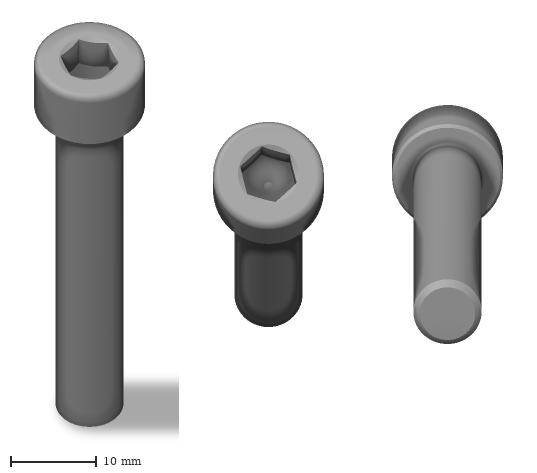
import cadquery as cq
import math

total_length = 58.0
head_diameter = 13.0
head_height = 8.0
shank_diameter = 8.0

head_top_fillet = 0.8
head_bottom_chamfer = 0.35
neck_fillet = 0.4
tip_chamfer = 0.75

socket_across_flats = 6.0
socket_depth = 4.0
socket_mouth_diameter = 7.15
mouth_cone_angle = 30.0
floor_cone_angle = 30.0
floor_flat_diameter = 1.05

head_radius = head_diameter / 2
shank_radius = shank_diameter / 2
head_bottom = total_length - head_height
socket_across_corners = socket_across_flats / math.cos(math.radians(30))
socket_floor = total_length - socket_depth


def cone_frustum(bottom_z, bottom_radius, top_z, top_radius):
    """Frustum around the Z axis."""
    return (
        cq.Workplane("XZ")
        .polyline([(0, bottom_z), (bottom_radius, bottom_z), (top_radius, top_z), (0, top_z)])
        .close()
        .revolve(360, (0, 0), (0, 1))
    )


def screw_blank():
    """Head, neck fillet and shank with chamfered tip, revolved as one profile."""
    fillet_diagonal = math.sqrt(0.5)
    neck_mid = neck_fillet * (1 - fillet_diagonal)
    top_mid = head_top_fillet * (1 - fillet_diagonal)
    return (
        cq.Workplane("XZ")
        .moveTo(0, 0)
        .lineTo(shank_radius - tip_chamfer, 0)
        .lineTo(shank_radius, tip_chamfer)
        .lineTo(shank_radius, head_bottom - neck_fillet)
        .threePointArc(
            (shank_radius + neck_mid, head_bottom - neck_mid),
            (shank_radius + neck_fillet, head_bottom),
        )
        .lineTo(head_radius - head_bottom_chamfer, head_bottom)
        .lineTo(head_radius, head_bottom + head_bottom_chamfer)
        .lineTo(head_radius, total_length - head_top_fillet)
        .threePointArc(
            (head_radius - top_mid, total_length - top_mid),
            (head_radius - head_top_fillet, total_length),
        )
        .lineTo(0, total_length)
        .close()
        .revolve(360, (0, 0), (0, 1))
    )


def hex_socket():
    """Hexagonal recess with a conical floor and a countersunk mouth."""
    corner_radius = socket_across_corners / 2
    floor_flat_radius = floor_flat_diameter / 2
    floor_drop = (corner_radius - floor_flat_radius) * math.tan(math.radians(floor_cone_angle))
    hexagon = (
        cq.Workplane("XY")
        .workplane(offset=socket_floor - floor_drop)
        .polygon(6, socket_across_corners)
        .extrude(socket_depth + floor_drop)
    )
    floor_cone = cone_frustum(socket_floor - floor_drop, floor_flat_radius, socket_floor, corner_radius)
    bore = cq.Workplane("XY").workplane(offset=socket_floor).circle(head_radius).extrude(socket_depth)
    recess = hexagon.intersect(floor_cone.union(bore))

    mouth_radius = socket_mouth_diameter / 2
    mouth_bottom_radius = socket_across_flats / 2
    mouth_depth = (mouth_radius - mouth_bottom_radius) * math.tan(math.radians(mouth_cone_angle))
    mouth = cone_frustum(total_length - mouth_depth, mouth_bottom_radius, total_length, mouth_radius)
    return recess.union(mouth)


result = screw_blank().cut(hex_socket())